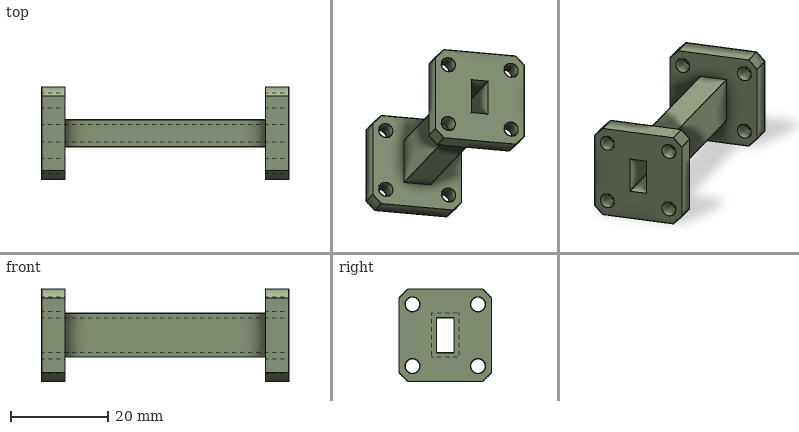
import cadquery as cq

length = 50.8
flange_side = 19.05
flange_thickness = 4.85
corner_chamfer = 1.85

tube_width = 5.65
tube_height = 9.05
channel_width = 3.55
channel_height = 7.1

hole_diameter = 3.0
hole_spacing_y = 13.45
hole_spacing_z = 12.7


def make_flange(center_x):
    """Square flange with chamfered corners and bolt holes through its thickness."""
    return (
        cq.Workplane("YZ")
        .rect(flange_side, flange_side)
        .extrude(flange_thickness / 2, both=True)
        .edges("|X")
        .chamfer(corner_chamfer)
        .faces(">X")
        .workplane(centerOption="CenterOfBoundBox")
        .rect(hole_spacing_y, hole_spacing_z, forConstruction=True)
        .vertices()
        .hole(hole_diameter)
        .translate((center_x, 0, 0))
    )


flange_offset = (length - flange_thickness) / 2

body = cq.Workplane("XY").box(length - 2 * flange_thickness, tube_width, tube_height)
for center_x in (-flange_offset, flange_offset):
    body = body.union(make_flange(center_x))

channel = cq.Workplane("XY").box(length, channel_width, channel_height)
result = body.cut(channel)